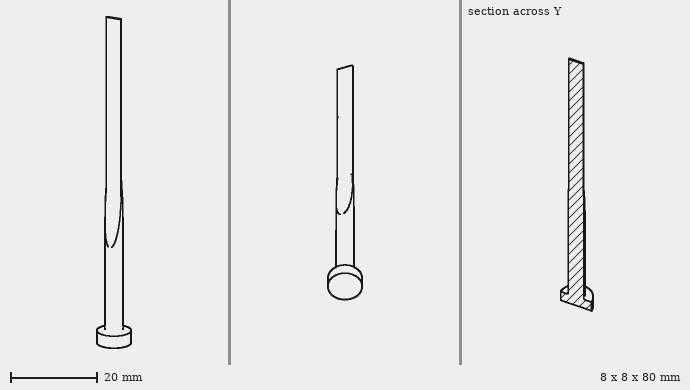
import cadquery as cq
import math

total_length = 80.0
head_diameter = 8.0
head_height = 3.0
shank_diameter = 4.2
head_fillet = 0.3
blade_width = 3.8
blade_thickness = 0.5
blade_corner_radius = 0.2
blade_length = 40.0
runout_radius = 70.0

blade_start = total_length - blade_length
head_radius = head_diameter / 2
shank_radius = shank_diameter / 2


def make_round_base():
    """Head and round shank up to the blade, joined by the concave fillet."""
    return (
        cq.Workplane("XZ")
        .lineTo(head_radius, 0)
        .lineTo(head_radius, head_height)
        .lineTo(shank_radius + head_fillet, head_height)
        .radiusArc((shank_radius, head_height + head_fillet), head_fillet)
        .lineTo(shank_radius, blade_start)
        .lineTo(0, blade_start)
        .close()
        .revolve(360, (0, 0, 0), (0, 1, 0))
    )


def make_runout_cutter(plane, blade_size):
    """Material outside one blade face, below the blade, bounded by an arc tangent to that face."""
    half_size = blade_size / 2
    growth = head_radius - half_size
    drop = math.sqrt(runout_radius**2 - (runout_radius - growth) ** 2)
    return (
        cq.Workplane(plane)
        .moveTo(half_size, blade_start)
        .radiusArc((head_radius, blade_start - drop), -runout_radius)
        .lineTo(head_radius, blade_start)
        .close()
        .extrude(head_radius, both=True)
    )


def cut_runouts(body):
    """Trim the shank on all four sides so that its top matches the blade's section."""
    side_cutter = make_runout_cutter("XZ", blade_width)
    face_cutter = make_runout_cutter("YZ", blade_thickness)
    for cutter, mirror_plane in ((side_cutter, "YZ"), (face_cutter, "XZ")):
        body = body.cut(cutter).cut(cutter.mirror(mirror_plane))
    return body


def make_blade():
    return (
        cq.Workplane("XY", origin=(0, 0, blade_start))
        .rect(blade_width, blade_thickness)
        .extrude(blade_length)
        .edges("|Z and >Y")
        .fillet(blade_corner_radius)
    )


result = cut_runouts(make_round_base()).union(make_blade())